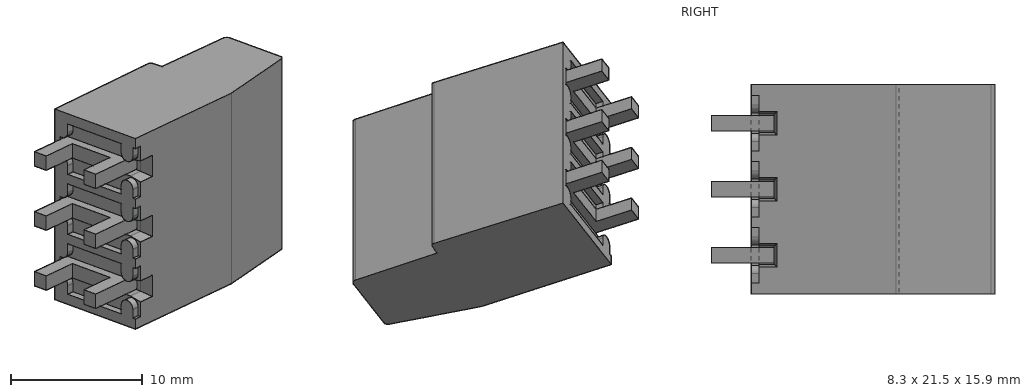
import cadquery as cq
import math

POLES = 3
PITCH = 5.0
END_WALL = 0.45

WIDTH = 8.3
DEPTH = 18.5
ROW_HEIGHT = POLES * PITCH + 2 * END_WALL
BASE_INSET = 0.15
STEP_DEPTH = 11.13
STEP_RISE = 0.07
STEP_X = 1.13
TOP_LEFT_X = 1.2
TOP_RIGHT_X = 6.97
SLOPE_START = 11.0
EDGE_RADIUS = 0.35
STEP_RADIUS = 0.25

POCKET_DEPTH = 0.6
POCKET_LEFT = 1.47
POCKET_HALF_HEIGHT = 2.1
TAB_LEFT = 6.87
TAB_WIDTH = 1.18
TAB_RADIUS = TAB_WIDTH / 2
TAB_GAP_HALF = 0.79
NOTCH_LEFT = 0.70

PIN_SIZE = 1.2
PIN_PITCH = 5.0
PIN_LEFT = 0.74
PIN_LENGTH = 3.0
BAR_FRONT = 0.0

SLOT_DEPTH = 1.76
SLOT_RIGHT = 7.27
SLOT_HALF_HEIGHT = 0.69
FLARE_ANGLE = 10.5


def pole_heights():
    """Z of the centre of each pole."""
    return [(i - (POLES - 1) / 2) * PITCH for i in range(POLES)]


def block(x0, x1, y0, y1, half_height):
    """Box spanning the given X and Y limits, centred on Z = 0."""
    return cq.Workplane("XY").box(
        x1 - x0, y1 - y0, 2 * half_height, centered=(False, False, True)
    ).translate((x0, y0, 0))


def make_housing():
    body = (
        cq.Workplane("XY")
        .workplane(offset=-ROW_HEIGHT / 2)
        .moveTo(BASE_INSET, 0)
        .lineTo(WIDTH, 0)
        .lineTo(WIDTH, SLOPE_START)
        .lineTo(TOP_RIGHT_X, DEPTH)
        .lineTo(TOP_LEFT_X, DEPTH)
        .lineTo(STEP_X, STEP_DEPTH + STEP_RISE)
        .lineTo(0, STEP_DEPTH)
        .close()
        .extrude(ROW_HEIGHT)
    )
    body = body.edges("|Z and >Y").fillet(EDGE_RADIUS)
    return body.edges("|Z and <X").fillet(STEP_RADIUS)


def make_tab(left, side):
    """Round-ended tab above (side = 1) or below (side = -1) the gap of a pole."""
    middle = left + TAB_RADIUS
    shoulder = side * (TAB_GAP_HALF + TAB_RADIUS)
    root = side * POCKET_HALF_HEIGHT
    return (
        cq.Workplane("XZ")
        .moveTo(left, root)
        .lineTo(left, shoulder)
        .threePointArc((middle, side * TAB_GAP_HALF), (left + TAB_WIDTH, shoulder))
        .lineTo(left + TAB_WIDTH, root)
        .close()
        .extrude(-POCKET_DEPTH)
    )


def make_pocket():
    """Shallow pocket, narrowed on both sides by the round-ended tabs."""
    left_tab = POCKET_LEFT - TAB_WIDTH
    left_tab_middle = left_tab + TAB_RADIUS
    pocket = block(left_tab_middle, WIDTH, 0, POCKET_DEPTH, POCKET_HALF_HEIGHT)
    for left in (left_tab, TAB_LEFT):
        for side in (1, -1):
            pocket = pocket.cut(make_tab(left, side))
    notch = block(NOTCH_LEFT, left_tab_middle, 0, POCKET_DEPTH, TAB_GAP_HALF)
    return pocket.union(notch)


def make_exit():
    """Flared end of the slot, widening and deepening toward the right side."""
    spread = (WIDTH - SLOT_RIGHT) * math.tan(math.radians(FLARE_ANGLE))
    mouth_half = SLOT_HALF_HEIGHT + spread
    mouth_depth = SLOT_DEPTH + spread
    depth_profile = (
        cq.Workplane("XY")
        .workplane(offset=-mouth_half)
        .moveTo(SLOT_RIGHT, POCKET_DEPTH)
        .lineTo(WIDTH, POCKET_DEPTH)
        .lineTo(WIDTH, mouth_depth)
        .lineTo(SLOT_RIGHT, SLOT_DEPTH)
        .close()
        .extrude(2 * mouth_half)
    )
    height_profile = (
        cq.Workplane("XZ")
        .moveTo(SLOT_RIGHT, -SLOT_HALF_HEIGHT)
        .lineTo(WIDTH, -mouth_half)
        .lineTo(WIDTH, mouth_half)
        .lineTo(SLOT_RIGHT, SLOT_HALF_HEIGHT)
        .close()
        .extrude(-mouth_depth)
    )
    return depth_profile.intersect(height_profile)


def make_recess():
    slot = block(PIN_LEFT, SLOT_RIGHT, 0, SLOT_DEPTH, SLOT_HALF_HEIGHT)
    return make_pocket().union(slot).union(make_exit())


def make_pin_pair():
    """Two square pins joined by a bar that rests on the slot floor."""
    pin_right = PIN_LEFT + PIN_PITCH + PIN_SIZE
    pair = block(PIN_LEFT, pin_right, BAR_FRONT, SLOT_DEPTH, PIN_SIZE / 2)
    for left in (PIN_LEFT, PIN_LEFT + PIN_PITCH):
        pair = pair.union(block(left, left + PIN_SIZE, -PIN_LENGTH, SLOT_DEPTH, PIN_SIZE / 2))
    return pair


result = make_housing()
recess = make_recess()
pin_pair = make_pin_pair()
for height in pole_heights():
    result = result.cut(recess.translate((0, 0, height)))
    result = result.union(pin_pair.translate((0, 0, height)))